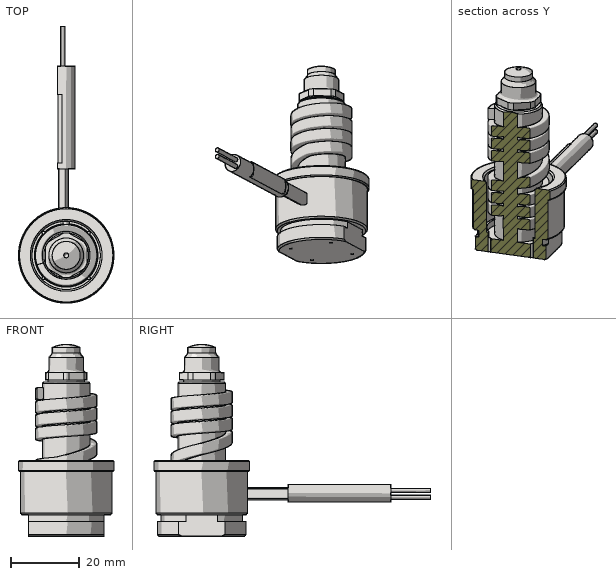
import cadquery as cq
import math

TOTAL_HEIGHT = 56.2

HEAD_RADIUS = 13.0
HEAD_HEIGHT = 4.4
HEAD_CHAMFER = 0.5
HEAD_NECK_RADIUS = 12.0
HEAD_FLATS_WIDTH = 22.2

BODY_BOTTOM_Z = 6.3
BODY_RADIUS = 13.45
BODY_CHAMFER = 0.5
FLANGE_RADIUS = 14.0
FLANGE_BOTTOM_Z = 18.9
FLANGE_TOP_Z = 22.2
FLANGE_CHAMFER = 0.35
BORE_RADIUS = 10.0
BORE_CHAMFER = 0.5
RECESS_RADIUS = 9.3

FLOOR_HOLE_DIAMETER = 0.8
FLOOR_HOLE_CIRCLE_RADIUS = 9.4
FLOOR_HOLE_COUNT = 4
FIRST_FLOOR_HOLE_ANGLE = 45.0

CORE_RADIUS = 7.0
CORE_TOP_Z = 45.2
CORE_CHAMFER = 0.45
HEX_NECK_RADIUS = 5.4
HEX_BOTTOM_Z = 45.75
HEX_TOP_Z = 47.9
HEX_ACROSS_FLATS = 12.1
HEX_CORNER_RADIUS = 6.55
SHOULDER_RADIUS = 5.1
SHOULDER_FILLET = 0.8
SHOULDER_TOP_Z = 52.3
CONE_TOP_RADIUS = 4.5
CONE_TOP_Z = 53.0
TIP_RADIUS = 4.1
TIP_BOTTOM_Z = 53.7
DOME_RISE = 0.95
DIMPLE_RADIUS = 0.75
DIMPLE_DEPTH = 0.75

COIL_RADIUS = 9.0
COIL_BAND_HEIGHT = 3.5
COIL_CORNER_RADIUS = 0.4
COIL_CORE_OVERLAP = 0.05
CLOSE_PITCH = 3.9
STRETCHED_PITCH = 13.6
STRETCH_START_ANGLE = -110.0
STRETCH_END_ANGLE = 90.0
UPPER_TURNS = 3.3
LOWER_TURNS = 3.0
COIL_TOP_Z = 43.6

SLEEVE_Z = 12.6
SLEEVE_RADIUS = 2.58
SLEEVE_START_Y = 25.3
SLEEVE_END_Y = 55.4
LEAD_Z = 12.4
LEAD_LEFT_X = -2.2
LEAD_WIDTH = 2.15
LEAD_HEIGHT = 3.7
LEAD_FILLET = 0.5
EARTH_RIGHT_X = 0.65
EARTH_HEIGHT = 2.8
EARTH_FILLET = 0.3
LEAD_START_Y = 12.0
LEAD_BURIED_LENGTH = 0.1
COIL_LINK_DIAMETER = 1.8
CLIP_START_Y = 27.05
CLIP_LENGTH = 20.0
CLIP_FACE_X = -2.44
CLIP_HEIGHT = 4.6
CLIP_FILLET = 0.9
WIRE_DIAMETER = 1.3
WIRE_X = -1.0
WIRE_SPACING = 2.0
WIRE_END_Y = 67.0


def cylinder(radius, bottom_z, top_z):
    return cq.Workplane("XY").workplane(offset=bottom_z).circle(radius).extrude(top_z - bottom_z)


def rod_along_y(radius, x, z, start_y, end_y):
    base = cq.Workplane("XZ", origin=(x, start_y, z))
    return base.circle(radius).extrude(start_y - end_y)


def bar_along_y(left_x, right_x, height, z, start_y, end_y, fillet):
    bar = cq.Workplane("XY").box(right_x - left_x, end_y - start_y, height)
    bar = bar.edges("|Y").fillet(fillet)
    return bar.translate(((left_x + right_x) / 2, (start_y + end_y) / 2, z))


def make_head():
    """Flatted head whose neck is recessed under the body's bore."""
    disc = cylinder(HEAD_RADIUS, 0, HEAD_HEIGHT).faces("<Z").chamfer(HEAD_CHAMFER)
    neck = cylinder(HEAD_NECK_RADIUS, HEAD_HEIGHT, BODY_BOTTOM_Z)
    between_flats = cq.Workplane("XY").box(
        HEAD_FLATS_WIDTH, 2 * HEAD_RADIUS, BODY_BOTTOM_Z, centered=(True, True, False)
    )
    recess = cylinder(RECESS_RADIUS, HEAD_HEIGHT, BODY_BOTTOM_Z)
    return disc.union(neck).intersect(between_flats).cut(recess)


def make_cup():
    """Flanged ring around the coil; its bore opens through a chamfer at the top."""
    body = cylinder(BODY_RADIUS, BODY_BOTTOM_Z, FLANGE_TOP_Z).faces("<Z").chamfer(BODY_CHAMFER)
    flange = cylinder(FLANGE_RADIUS, FLANGE_BOTTOM_Z, FLANGE_TOP_Z).edges().chamfer(FLANGE_CHAMFER)
    bore = cylinder(BORE_RADIUS, BODY_BOTTOM_Z, FLANGE_TOP_Z)
    cup = body.union(flange).cut(bore)
    return cup.faces(">Z").edges(cq.selectors.RadiusNthSelector(0)).chamfer(BORE_CHAMFER)


def make_floor_holes():
    return (
        cq.Workplane("XY")
        .polarArray(FLOOR_HOLE_CIRCLE_RADIUS, FIRST_FLOOR_HOLE_ANGLE, 360, FLOOR_HOLE_COUNT)
        .circle(FLOOR_HOLE_DIAMETER / 2)
        .extrude(BODY_BOTTOM_Z)
    )


def make_core():
    core = cylinder(CORE_RADIUS, HEAD_HEIGHT, CORE_TOP_Z).faces(">Z").chamfer(CORE_CHAMFER)
    return core.union(cylinder(HEX_NECK_RADIUS, CORE_TOP_Z, HEX_BOTTOM_Z))


def make_hexagon():
    height = HEX_TOP_Z - HEX_BOTTOM_Z
    across_corners = HEX_ACROSS_FLATS / math.cos(math.radians(30))
    prism = (
        cq.Workplane("XY", origin=(0, 0, HEX_BOTTOM_Z))
        .transformed(rotate=(0, 0, 30))
        .polygon(6, across_corners)
        .extrude(height)
    )
    return prism.intersect(cylinder(HEX_CORNER_RADIUS, HEX_BOTTOM_Z, HEX_TOP_Z))


def make_tip():
    """Revolve the shoulder, cone and domed tip, then sink the dimple."""
    fillet_sag = SHOULDER_FILLET * (1 - math.sqrt(0.5))
    dome_radius = (TIP_RADIUS**2 + DOME_RISE**2) / (2 * DOME_RISE)
    dome_center_z = TOTAL_HEIGHT - dome_radius
    middle_radius = TIP_RADIUS / 2
    dome_middle_z = dome_center_z + math.sqrt(dome_radius**2 - middle_radius**2)
    profile = (
        cq.Workplane("XZ")
        .moveTo(0, HEX_TOP_Z)
        .lineTo(SHOULDER_RADIUS + SHOULDER_FILLET, HEX_TOP_Z)
        .threePointArc(
            (SHOULDER_RADIUS + fillet_sag, HEX_TOP_Z + fillet_sag),
            (SHOULDER_RADIUS, HEX_TOP_Z + SHOULDER_FILLET),
        )
        .lineTo(SHOULDER_RADIUS, SHOULDER_TOP_Z)
        .lineTo(CONE_TOP_RADIUS, CONE_TOP_Z)
        .lineTo(TIP_RADIUS, TIP_BOTTOM_Z)
        .lineTo(TIP_RADIUS, TOTAL_HEIGHT - DOME_RISE)
        .threePointArc((middle_radius, dome_middle_z), (0, TOTAL_HEIGHT))
        .close()
    )
    dimple = cq.Solid.makeCone(0, DIMPLE_RADIUS, DIMPLE_DEPTH, pnt=(0, 0, TOTAL_HEIGHT - DIMPLE_DEPTH))
    return profile.revolve(360, (0, 0, 0), (0, 1, 0)).cut(cq.Workplane(dimple))


def make_coil_section(pitch, turns, start_angle, start_z):
    """Sweep the coil band up a right-handed helix; start_z is the band's lower edge at its start."""
    rise = pitch * turns
    inner_radius = CORE_RADIUS - COIL_CORE_OVERLAP
    helix = cq.Wire.makeHelix(pitch, rise, COIL_RADIUS)
    profile = (
        cq.Sketch()
        .rect(COIL_RADIUS - inner_radius, COIL_BAND_HEIGHT)
        .vertices()
        .fillet(COIL_CORNER_RADIUS)
    )
    profile_center = ((COIL_RADIUS + inner_radius) / 2, 0, COIL_BAND_HEIGHT / 2)
    band = (
        cq.Workplane("XZ", origin=profile_center)
        .placeSketch(profile)
        .sweep(cq.Workplane(helix), isFrenet=True)
    )
    return band.rotate((0, 0, 0), (0, 0, 1), start_angle).translate((0, 0, start_z))


def make_coil():
    """Stack the sections downward from the top end so that they join end to end."""
    stretch_turns = (STRETCH_END_ANGLE - STRETCH_START_ANGLE) / 360
    upper_z = COIL_TOP_Z - COIL_BAND_HEIGHT - UPPER_TURNS * CLOSE_PITCH
    stretched_z = upper_z - stretch_turns * STRETCHED_PITCH
    lower_z = stretched_z - LOWER_TURNS * CLOSE_PITCH
    lower_angle = STRETCH_START_ANGLE - 360 * LOWER_TURNS
    lower = make_coil_section(CLOSE_PITCH, LOWER_TURNS, lower_angle, lower_z)
    stretched = make_coil_section(STRETCHED_PITCH, stretch_turns, STRETCH_START_ANGLE, stretched_z)
    upper = make_coil_section(CLOSE_PITCH, UPPER_TURNS, STRETCH_END_ANGLE, upper_z)
    return lower.union(stretched).union(upper)


def make_sleeve():
    """Round sleeve whose -X side carries a flat, round-cornered clip."""
    clip_end_y = CLIP_START_Y + CLIP_LENGTH
    sleeve = rod_along_y(SLEEVE_RADIUS, 0, SLEEVE_Z, SLEEVE_START_Y, SLEEVE_END_Y)
    beyond_clip = cq.Workplane("XY").box(SLEEVE_RADIUS, CLIP_LENGTH, 2 * SLEEVE_RADIUS)
    beyond_clip = beyond_clip.translate(
        (CLIP_FACE_X - SLEEVE_RADIUS / 2, (CLIP_START_Y + clip_end_y) / 2, SLEEVE_Z)
    )
    clip = bar_along_y(
        CLIP_FACE_X, -CLIP_FACE_X / 2, CLIP_HEIGHT, SLEEVE_Z, CLIP_START_Y, clip_end_y, CLIP_FILLET
    )
    return sleeve.cut(beyond_clip).union(clip)


def make_lead():
    """Flat lead with an earth strip, a link to the coil, the sleeve and two wires."""
    lead_right_x = LEAD_LEFT_X + LEAD_WIDTH
    lead_end_y = SLEEVE_START_Y + LEAD_BURIED_LENGTH
    lead = bar_along_y(
        LEAD_LEFT_X, lead_right_x, LEAD_HEIGHT, LEAD_Z, LEAD_START_Y, lead_end_y, LEAD_FILLET
    )
    earth = bar_along_y(
        LEAD_LEFT_X + LEAD_FILLET, EARTH_RIGHT_X, EARTH_HEIGHT, LEAD_Z,
        LEAD_START_Y, lead_end_y, EARTH_FILLET,
    )
    link = rod_along_y(COIL_LINK_DIAMETER / 2, 0, LEAD_Z, CORE_RADIUS - LEAD_BURIED_LENGTH, LEAD_START_Y)
    lead = lead.union(earth).union(link).union(make_sleeve())
    for side in (-1, 1):
        wire_z = LEAD_Z + side * WIRE_SPACING / 2
        lead = lead.union(rod_along_y(WIRE_DIAMETER / 2, WIRE_X, wire_z, SLEEVE_START_Y, WIRE_END_Y))
    return lead


result = make_head().union(make_cup()).union(make_core()).cut(make_floor_holes())
result = result.union(make_hexagon()).union(make_tip())
result = result.union(make_coil()).union(make_lead())